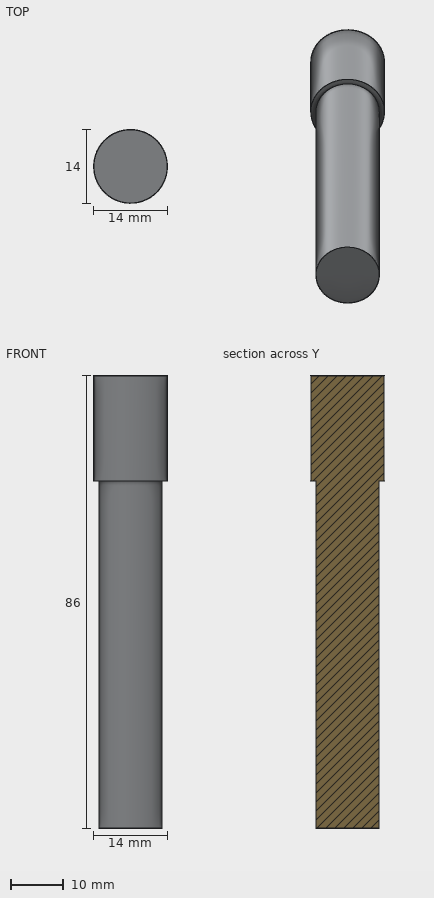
import cadquery as cq

total_length = 86.0
head_diameter = 14.0
head_length = 20.0
shank_diameter = 12.0

shank_length = total_length - head_length

shank = cq.Workplane("XY").circle(shank_diameter / 2).extrude(shank_length)

head = (
    cq.Workplane("XY")
    .workplane(offset=shank_length)
    .circle(head_diameter / 2)
    .extrude(head_length)
)

result = shank.union(head)